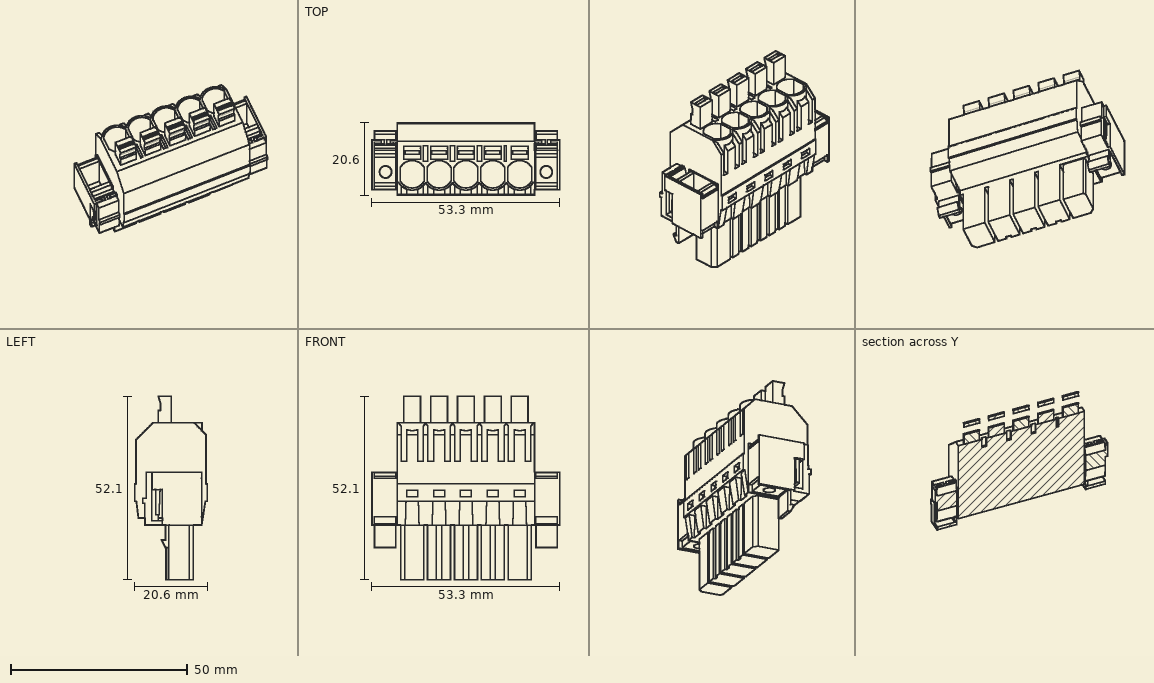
import cadquery as cq


PITCH = 7.62
POLES = 5
OVERALL_LENGTH = 53.34
OVERALL_DEPTH = 20.6

HOUSING_LENGTH = 38.98
HOUSING_TOP = 29.07
HALF_COLLAR = OVERALL_DEPTH / 2
HALF_BODY = 9.95
COLLAR_BOTTOM = 6.75
COLLAR_TOP = 11.7
BACK_CHAMFER = 4.9
FRONT_CHAMFER = 3.4
FRONT_SKIRT_TOP_Y = -9.8
FRONT_SKIRT_BOTTOM_Y = -8.75
BACK_SKIRT_TOP_Y = 9.85
BACK_SKIRT_BOTTOM_Y = 9.25
BACK_SKIRT_BOTTOM_Z = 2.0

BORE_Y = -4.33
BORE_DIAMETER = 7.8
BORE_WIDTH = 6.84
BORE_DEPTH = 15.0
FUNNEL_RADIUS = 4.5
POCKET_WIDTH = 6.35
POCKET_BOTTOM = 18.1
RIB_WIDTH = 3.15

WINDOW_WIDTH = 3.15
WINDOW_BOTTOM = 8.0
WINDOW_TOP = 9.9
WINDOW_DEPTH = 1.1
SKIRT_RECESS_Y = -8.05
SKIRT_RECESS_TOP_WIDTH = 3.5
SKIRT_RECESS_BOTTOM_WIDTH = 3.9
TOP_SLOT_FRONT = -0.64
TOP_SLOT_BACK = 3.7
TOP_SLOT_DEPTH = 3.0
TOP_SLOT_WIDTH = 1.3
LAST_TOP_SLOT_WIDTH = 0.66
LAST_TOP_SLOT_SHIFT = -0.28

PLUG_LENGTH = 15.54
PLUG_WIDTH = 6.6
PLUG_FRONT = -6.36
PLUG_BACK = 1.4
PLUG_CHAMFER = 1.17
FIRST_PLUG_BACK = 1.15
FIRST_PLUG_BACK_CHAMFER = 0.55
GROOVE_WIDTH = 1.5
GROOVE_DEPTH = 0.6

LEVER_WIDTH = 4.85
LEVER_FRONT = -0.1
LEVER_BACK = 3.6
LEVER_HEIGHT = 7.5
LEVER_NOTCH_DEPTH = 0.6
LEVER_NOTCH_BOTTOM = 3.45
LEVER_NOTCH_BEND = 5.4
DRIVER_SLOT_LENGTH = 4.05
DRIVER_SLOT_WIDTH = 1.0
DRIVER_SLOT_Y = 1.85
DRIVER_SLOT_DEPTH = 1.0

FLANGE_TOP = 15.0
FLANGE_FRONT = -8.72
END_WALL = 0.73
INNER_WALL = 0.35
FRONT_WALL_BACK = -6.67
FLOOR_BOTTOM = 0.35
FLOOR_TOP = 2.38
SCREW_HOLE_DIAMETER = 3.36
SCREW_HOLE_Y = -3.67
LEDGE_Y = -7.7
WALL_TOP = 14.85
LEDGE_BOTTOM = 13.35
LEDGE_STEP = 0.2
LEDGE_CHAMFER_BOTTOM = 13.9
ARM_FRONT = 0.46
ARM_BACK = 2.45
ARM_CHAMFER = 0.9
HOOK_ARM_FRONT = 0.62
HOOK_ARM_BACK = 1.57
HOOK_TIP_Y = 2.7
HOOK_TOP = -4.2
HOOK_BOTTOM = -6.4
END_OPENING_TOP = 10.05
BAR_TOP = 1.24
PLATE_FRONT = 4.37
PLATE_BACK = 5.4
BLOCK_BACK = 7.04
BLOCK_FOOT_BACK = 7.39
NOSE_BACK = 7.95
NOSE_BOTTOM = 6.18
NOSE_TOP = 7.68
TONGUE_TOP_Y = 3.9
TONGUE_BULGE_Y = 3.0
TONGUE_BULGE_Z = 12.0
TONGUE_BOTTOM = 2.9
TONGUE_BOTTOM_Y = 3.37
TONGUE_BACK = 4.3
INNER_RIB_FRONT = 3.55
KEY_STEM = 0.7
KEY_HOLE = 0.95
KEY_SLIT = 0.15
FLANGE_CENTER_X = -22.78

HALF_HOUSING = HOUSING_LENGTH / 2
FLANGE_OUTSIDE = -OVERALL_LENGTH / 2
CAVITY_OUT = FLANGE_OUTSIDE + END_WALL
CAVITY_IN = -HALF_HOUSING - INNER_WALL
POLE_XS = [(i - (POLES - 1) / 2) * PITCH for i in range(POLES)]
CHAMFER_START_Z = HOUSING_TOP - FRONT_CHAMFER


def block(x0, x1, y0, y1, z0, z1):
    """Box between two corners."""
    return cq.Workplane("XY").box(x1 - x0, y1 - y0, z1 - z0, centered=False).translate((x0, y0, z0))


def along_x(yz_points, x0, x1):
    """Closed YZ outline extruded from x0 to x1."""
    return cq.Workplane("YZ").polyline(yz_points).close().extrude(x1 - x0).translate((x0, 0, 0))


def housing_shell():
    outline = [
        (PLUG_BACK, 0),
        (FRONT_SKIRT_BOTTOM_Y, 0),
        (FRONT_SKIRT_TOP_Y, COLLAR_BOTTOM),
        (-HALF_COLLAR, COLLAR_BOTTOM),
        (-HALF_COLLAR, COLLAR_TOP),
        (-HALF_BODY, COLLAR_TOP),
        (-HALF_BODY, CHAMFER_START_Z),
        (-HALF_BODY + FRONT_CHAMFER, HOUSING_TOP),
        (HALF_BODY - BACK_CHAMFER, HOUSING_TOP),
        (HALF_BODY, HOUSING_TOP - BACK_CHAMFER),
        (HALF_BODY, COLLAR_TOP),
        (HALF_COLLAR, COLLAR_TOP),
        (HALF_COLLAR, COLLAR_BOTTOM),
        (BACK_SKIRT_TOP_Y, COLLAR_BOTTOM),
        (BACK_SKIRT_BOTTOM_Y, BACK_SKIRT_BOTTOM_Z),
        (PLUG_BACK, BACK_SKIRT_BOTTOM_Z),
    ]
    return along_x(outline, -HALF_HOUSING, HALF_HOUSING)


def funnel_tube(x):
    """Outside of one wire funnel, trimmed at the ends of the housing."""
    height = HOUSING_TOP - POCKET_BOTTOM
    tube = cq.Workplane("XY", origin=(x, BORE_Y, POCKET_BOTTOM)).circle(FUNNEL_RADIUS).extrude(height)
    trim = block(-HALF_HOUSING, HALF_HOUSING, -HALF_COLLAR, HALF_COLLAR, POCKET_BOTTOM, HOUSING_TOP)
    return tube.intersect(trim)


def funnel_pocket(x):
    """Two upright pockets either side of the rib in front of one funnel."""
    pockets = cq.Workplane("XY")
    for side in (-1, 1):
        edges = sorted((x + side * RIB_WIDTH / 2, x + side * POCKET_WIDTH / 2))
        pockets = pockets.union(block(*edges, -HALF_COLLAR, BORE_Y, POCKET_BOTTOM, HOUSING_TOP))
    return pockets


def wire_bore(x):
    """Round bore with two flat sides."""
    bottom = HOUSING_TOP - BORE_DEPTH
    bore = cq.Workplane("XY", origin=(x, BORE_Y, bottom)).circle(BORE_DIAMETER / 2).extrude(BORE_DEPTH)
    flats = cq.Workplane("XY", origin=(x, BORE_Y, bottom)).rect(BORE_WIDTH, BORE_DIAMETER)
    return bore.intersect(flats.extrude(BORE_DEPTH))


def collar_window(x):
    """Shallow blind window in the collar."""
    half_width = WINDOW_WIDTH / 2
    back = -HALF_COLLAR + WINDOW_DEPTH
    return block(x - half_width, x + half_width, -HALF_COLLAR, back, WINDOW_BOTTOM, WINDOW_TOP)


def skirt_recess(x):
    """Upright recess in the sloping front skirt, wider at the bottom."""
    outline = [
        (x - SKIRT_RECESS_BOTTOM_WIDTH / 2, 0),
        (x + SKIRT_RECESS_BOTTOM_WIDTH / 2, 0),
        (x + SKIRT_RECESS_TOP_WIDTH / 2, COLLAR_BOTTOM),
        (x - SKIRT_RECESS_TOP_WIDTH / 2, COLLAR_BOTTOM),
    ]
    depth = SKIRT_RECESS_Y + HALF_COLLAR
    return cq.Workplane("XZ", origin=(0, SKIRT_RECESS_Y, 0)).polyline(outline).close().extrude(depth)


def top_slot(x, width):
    """Narrow slot in the top face between two levers."""
    bottom = HOUSING_TOP - TOP_SLOT_DEPTH
    return block(x - width / 2, x + width / 2, TOP_SLOT_FRONT, TOP_SLOT_BACK, bottom, HOUSING_TOP)


def plug_finger(index, x):
    """Plug finger: outer corners chamfered on the end poles, front groove on the middle poles."""
    left = x - PLUG_WIDTH / 2
    right = x + PLUG_WIDTH / 2
    back = FIRST_PLUG_BACK if index == 0 else PLUG_BACK
    finger = block(left, right, PLUG_FRONT, back, -PLUG_LENGTH, 0)
    if index in (0, POLES - 1):
        corner = "<X" if index == 0 else ">X"
        finger = finger.faces(corner).edges("|Z and <Y").chamfer(PLUG_CHAMFER)
        if index == 0:
            finger = finger.faces(corner).edges("|Z and >Y").chamfer(FIRST_PLUG_BACK_CHAMFER)
        return finger
    half_groove = GROOVE_WIDTH / 2
    groove_back = PLUG_FRONT + GROOVE_DEPTH
    return finger.cut(block(x - half_groove, x + half_groove, PLUG_FRONT, groove_back, -PLUG_LENGTH, 0))


def make_housing():
    body = housing_shell()
    for x in POLE_XS:
        body = body.cut(funnel_pocket(x))
    for x in POLE_XS:
        body = body.union(funnel_tube(x))
    for index, x in enumerate(POLE_XS):
        body = body.cut(wire_bore(x)).cut(collar_window(x)).cut(skirt_recess(x))
        body = body.union(plug_finger(index, x))
    for x in POLE_XS[:-2]:
        body = body.cut(top_slot(x + PITCH / 2, TOP_SLOT_WIDTH))
    last_slot_x = POLE_XS[-1] - PITCH / 2 + LAST_TOP_SLOT_SHIFT
    return body.cut(top_slot(last_slot_x, LAST_TOP_SLOT_WIDTH))


def make_lever(x):
    """Lever standing on the housing, with a finger notch at the back and a driver slot on top."""
    notch_y = LEVER_BACK - LEVER_NOTCH_DEPTH
    top = HOUSING_TOP + LEVER_HEIGHT
    outline = [
        (LEVER_FRONT, HOUSING_TOP),
        (LEVER_BACK, HOUSING_TOP),
        (LEVER_BACK, HOUSING_TOP + LEVER_NOTCH_BOTTOM),
        (notch_y, HOUSING_TOP + LEVER_NOTCH_BOTTOM),
        (notch_y, HOUSING_TOP + LEVER_NOTCH_BEND),
        (LEVER_BACK, top),
        (LEVER_FRONT, top),
    ]
    lever = along_x(outline, x - LEVER_WIDTH / 2, x + LEVER_WIDTH / 2)
    slot = cq.Workplane("XY", origin=(x, DRIVER_SLOT_Y, top)).rect(DRIVER_SLOT_LENGTH, DRIVER_SLOT_WIDTH)
    return lever.cut(slot.extrude(-DRIVER_SLOT_DEPTH))


def flange_box():
    """Walls and floor of the screw box."""
    end_wall = block(FLANGE_OUTSIDE, CAVITY_OUT, FLANGE_FRONT, PLATE_BACK, 0, FLANGE_TOP)
    end_opening = block(FLANGE_OUTSIDE, CAVITY_OUT, ARM_BACK, PLATE_BACK, 0, END_OPENING_TOP)
    inner_wall = block(CAVITY_IN, -HALF_HOUSING, FLANGE_FRONT, ARM_BACK, 0, FLANGE_TOP)
    floor = block(CAVITY_OUT, CAVITY_IN, LEDGE_Y, ARM_FRONT, FLOOR_BOTTOM, FLOOR_TOP)
    front_outline = [
        (FRONT_WALL_BACK, FLOOR_TOP),
        (FLANGE_FRONT, FLOOR_TOP),
        (FLANGE_FRONT, LEDGE_BOTTOM),
        (FLANGE_FRONT + LEDGE_STEP, LEDGE_BOTTOM),
        (FLANGE_FRONT + LEDGE_STEP, LEDGE_CHAMFER_BOTTOM),
        (LEDGE_Y, WALL_TOP),
        (FRONT_WALL_BACK, WALL_TOP),
    ]
    front_wall = along_x(front_outline, CAVITY_OUT, CAVITY_IN)
    hole_axis = cq.Workplane("XY", origin=(FLANGE_CENTER_X, SCREW_HOLE_Y, 0))
    screw_hole = hole_axis.circle(SCREW_HOLE_DIAMETER / 2).extrude(FLANGE_TOP)
    box = end_wall.cut(end_opening).union(inner_wall).union(floor).union(front_wall)
    return box.cut(screw_hole)


def latch_arm():
    """Back wall of the screw box, continuing downward as an arm with a hook."""
    outline = [
        (ARM_FRONT, 0),
        (HOOK_ARM_FRONT, 0),
        (HOOK_ARM_FRONT, HOOK_BOTTOM),
        (HOOK_ARM_BACK, HOOK_BOTTOM),
        (HOOK_TIP_Y, HOOK_TOP),
        (HOOK_ARM_BACK, HOOK_TOP),
        (HOOK_ARM_BACK, 0),
        (ARM_BACK, 0),
        (ARM_BACK, WALL_TOP - ARM_CHAMFER),
        (ARM_BACK - ARM_CHAMFER, WALL_TOP),
        (ARM_FRONT, WALL_TOP),
    ]
    return along_x(outline, CAVITY_OUT, CAVITY_IN)


def back_frame():
    """Outer back block with its nose, and the bar that joins it to the latch arm."""
    outline = [
        (ARM_BACK, 0),
        (BLOCK_FOOT_BACK, 0),
        (BLOCK_FOOT_BACK, NOSE_BOTTOM),
        (NOSE_BACK, NOSE_BOTTOM),
        (NOSE_BACK, NOSE_TOP),
        (BLOCK_BACK, NOSE_TOP),
        (BLOCK_BACK, FLANGE_TOP),
        (PLATE_BACK, FLANGE_TOP),
        (PLATE_BACK, BAR_TOP),
        (ARM_BACK, BAR_TOP),
    ]
    return along_x(outline, CAVITY_OUT, CAVITY_IN)


def tongue():
    """Spring tongue hanging between the latch arm and the back block."""
    outline = [
        (PLATE_FRONT, FLANGE_TOP),
        (TONGUE_TOP_Y, FLANGE_TOP),
        (TONGUE_BULGE_Y, TONGUE_BULGE_Z),
        (TONGUE_BOTTOM_Y, TONGUE_BOTTOM),
        (TONGUE_BACK, TONGUE_BOTTOM),
        (TONGUE_BACK, END_OPENING_TOP),
        (PLATE_FRONT, END_OPENING_TOP),
    ]
    return along_x(outline, CAVITY_OUT, CAVITY_IN)


def key_plate():
    """Plate between tongue and back block, and the rib below its inner end."""
    plate = block(CAVITY_OUT, -HALF_HOUSING, PLATE_FRONT, PLATE_BACK, END_OPENING_TOP, FLANGE_TOP)
    rib = block(CAVITY_IN - END_WALL, CAVITY_IN, INNER_RIB_FRONT, PLATE_BACK, BAR_TOP, END_OPENING_TOP)
    return plate.union(rib)


def key_slots():
    """Key holes either side of the stem, each with two thin slits running outward from it."""
    slots = cq.Workplane("XY")
    stem_left = FLANGE_CENTER_X - KEY_STEM / 2
    stem_right = FLANGE_CENTER_X + KEY_STEM / 2
    for hole_x, slit_x0, slit_x1 in (
        (stem_left - KEY_HOLE, CAVITY_OUT, stem_left),
        (stem_right, stem_right, CAVITY_IN),
    ):
        hole = block(hole_x, hole_x + KEY_HOLE, PLATE_FRONT, PLATE_BACK, END_OPENING_TOP, FLANGE_TOP)
        slots = slots.union(hole)
        for slit_y in (PLATE_FRONT, PLATE_BACK - KEY_SLIT):
            slit = block(slit_x0, slit_x1, slit_y, slit_y + KEY_SLIT, END_OPENING_TOP, FLANGE_TOP)
            slots = slots.union(slit)
    return slots


def make_left_flange():
    flange = flange_box().union(latch_arm()).union(back_frame()).union(key_plate()).union(tongue())
    return flange.cut(key_slots())


housing = make_housing()
levers = [make_lever(x) for x in POLE_XS]
left_flange = make_left_flange()
right_flange = left_flange.mirror("YZ")

bodies = [housing, *levers, left_flange, right_flange]
result = cq.Compound.makeCompound([body.val() for body in bodies])